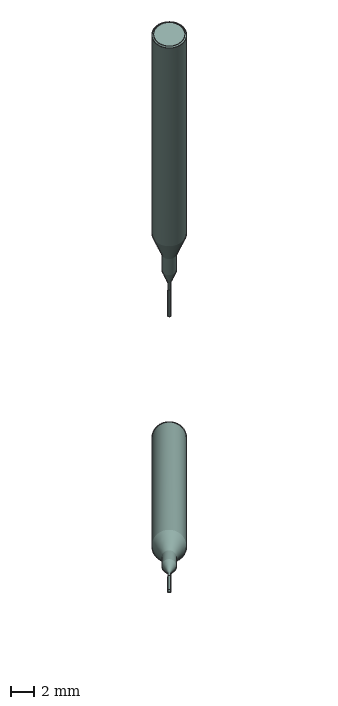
import cadquery as cq
import math

overall_length = 37.5
shank_diameter = 3.0
neck_diameter = 1.27
drill_diameter = 0.3
drill_shaft_diameter = 0.26
point_angle = 118.0

bevel_width = 0.15
bevel_height = 0.09

cutting_length = 3.6
drill_shaft_end = 4.5
neck_start = 6.15
neck_end = 8.3
shank_start = 11.02

shank_radius = shank_diameter / 2
neck_radius = neck_diameter / 2
drill_radius = drill_diameter / 2
drill_shaft_radius = drill_shaft_diameter / 2
point_height = drill_radius / math.tan(math.radians(point_angle / 2))


def revolve_profile(points):
    """Turn a closed (radius, height) outline around the Z axis."""
    outline = cq.Workplane("XZ").polyline(points).close()
    return outline.revolve(360, (0, 0, 0), (0, 1, 0))


def make_shank():
    """Clamping shank, tapering through a neck to the thin plain drill shaft."""
    return revolve_profile([
        (0, cutting_length),
        (drill_shaft_radius, cutting_length),
        (drill_shaft_radius, drill_shaft_end),
        (neck_radius, neck_start),
        (neck_radius, neck_end),
        (shank_radius, shank_start),
        (shank_radius, overall_length - bevel_height),
        (shank_radius - bevel_width, overall_length),
        (0, overall_length),
    ])


def make_cutting_section():
    """Drill with a conical point and a slight back taper to the shaft size."""
    return revolve_profile([
        (0, 0),
        (drill_radius, point_height),
        (drill_shaft_radius, cutting_length),
        (0, cutting_length),
    ])


shank = make_shank()
cutting_section = make_cutting_section()

result = cq.Compound.makeCompound([shank.val(), cutting_section.val()])